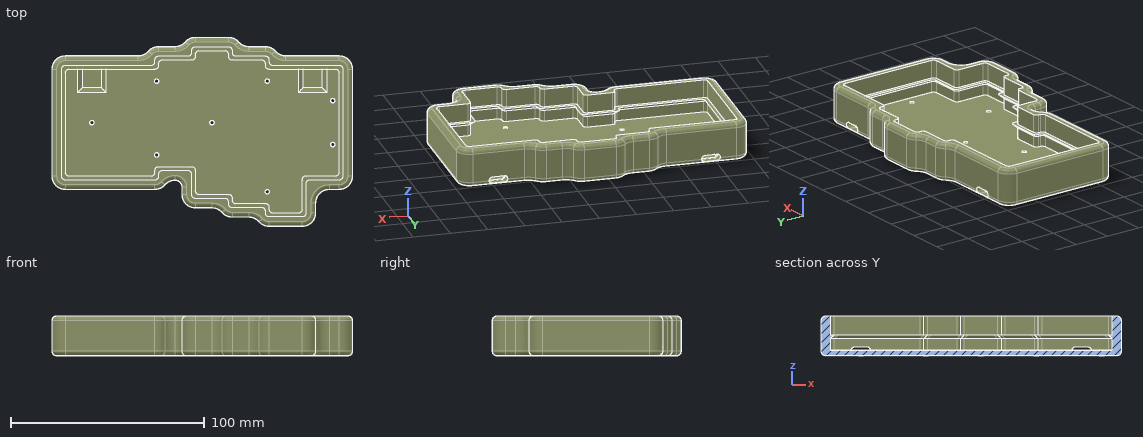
import cadquery as cq
import math

length = 155.5
height = 20.7
edge_round = 2.5

five_key_span = 95.3
pitch = five_key_span / 5
stagger = pitch / 4
plan_depth = 97.8

outer_radius = 7.0
ledge_half_width = 1.0
wall = outer_radius - ledge_half_width
key_corner_radius = 1.9

floor_z = 3.0
ledge_z = 10.9

field_right = length / 2 - wall
field_left = -field_right
column_x = [field_right - count * pitch for count in (5, 4, 3, 2, 1)]
x1, x2, x3, x4, x5 = column_x

top_high = plan_depth / 2 - wall
top_mid = top_high - stagger
top_low = top_mid - stagger
bottom_low = top_low - 3 * pitch
bottom_mid = top_mid - 3 * pitch
thumb_high = top_high - 4 * pitch
thumb_mid = top_mid - 4 * pitch
thumb_low = top_low - 4 * pitch

hole_diameter = 2.2
hole_inset = pitch * 5 / 8
center_y = (top_low + bottom_low) / 2
side_hole_x = 67.5
side_hole_offset = 11.3

pocket_x = 57.0
pocket_width = 14.8
pocket_back = top_low + ledge_half_width
pocket_length = 14.0
pocket_depth = 2.5
slot_width = 10.0
slot_height = 3.5
slot_rise = 0.5


def outer_outline():
    """Body outline of straight runs joined by tangent arcs, clockwise from the top left."""
    inset = ledge_half_width
    r = outer_radius
    half_run = math.sqrt(stagger * (4 * r - stagger)) / 2
    half_rise = stagger / 2
    run = 2 * half_run
    notch_radius = pitch - wall + inset - run

    def s_step(path, x_sign, y_sign):
        step = (x_sign * half_run, y_sign * half_rise)
        return path.tangentArcPoint(step).tangentArcPoint(step)

    left = -length / 2
    right = length / 2
    path = cq.Workplane("XY").moveTo(left + r, top_low + wall)
    path = path.lineTo(x1 + inset - run, top_low + wall)
    path = s_step(path, 1, 1)
    path = path.lineTo(x2 + inset - run, top_mid + wall)
    path = s_step(path, 1, 1)
    path = path.lineTo(x3 - inset, top_high + wall)
    path = s_step(path, 1, -1)
    path = path.lineTo(x4 - inset, top_mid + wall)
    path = s_step(path, 1, -1)
    path = path.lineTo(right - r, top_low + wall)
    path = path.tangentArcPoint((r, -r))
    path = path.lineTo(right, bottom_low - wall + r)
    path = path.tangentArcPoint((-r, -r))
    thumb_right = x5 + wall
    path = path.lineTo(thumb_right + r, bottom_low - wall)
    path = path.tangentArcPoint((-r, -r))
    path = path.lineTo(thumb_right, thumb_low - wall + r)
    path = path.tangentArcPoint((-r, -r))
    path = path.lineTo(x4 + inset, thumb_low - wall)
    path = s_step(path, -1, 1)
    path = path.lineTo(x3 + inset, thumb_mid - wall)
    path = s_step(path, -1, 1)
    thumb_left = x2 - wall
    path = path.lineTo(thumb_left + r, thumb_high - wall)
    path = path.tangentArcPoint((-r, r))
    path = path.lineTo(thumb_left, bottom_mid - wall - notch_radius)
    path = path.tangentArcPoint((-notch_radius, notch_radius))
    path = s_step(path, -1, -1)
    path = path.lineTo(left + r, bottom_low - wall)
    path = path.tangentArcPoint((-r, r))
    path = path.lineTo(left, top_low + wall - r)
    path = path.tangentArcPoint((r, r))
    return path.close()


def key_outline(offset, z):
    """Rounded wire of the stepped key field at height z, grown or shrunk by an offset."""
    corners = [
        (field_left, top_low), (x1, top_low), (x1, top_mid), (x2, top_mid), (x2, top_high),
        (x3, top_high), (x3, top_mid), (x4, top_mid), (x4, top_low), (field_right, top_low),
        (field_right, bottom_low), (x5, bottom_low), (x5, thumb_low), (x4, thumb_low),
        (x4, thumb_mid), (x3, thumb_mid), (x3, thumb_high), (x2, thumb_high),
        (x2, bottom_mid), (x1, bottom_mid), (x1, bottom_low), (field_left, bottom_low),
    ]
    sharp = cq.Workplane("XY").workplane(offset=z).polyline(corners).close()
    wire = sharp.offset2D(offset, "intersection").val()
    return wire.fillet2D(key_corner_radius, wire.Vertices())


def cavity():
    """Open cavity with a knife-edged lip: flat on top, sloping back to the wall underneath."""
    lip_width = 2 * ledge_half_width
    lip_root_z = ledge_z - lip_width
    up = cq.Vector(0, 0, 1)
    upper = cq.Solid.extrudeLinear(key_outline(ledge_half_width, ledge_z), [], up * (height - ledge_z))
    underside = cq.Solid.makeLoft(
        [key_outline(ledge_half_width, lip_root_z), key_outline(-ledge_half_width, ledge_z)], True
    )
    lower = cq.Solid.extrudeLinear(key_outline(ledge_half_width, floor_z), [], up * (lip_root_z - floor_z))
    return [upper, underside, lower]


def cable_pocket(x):
    """Recess in the floor with 45 degree sides at the left, right and front, square at the back wall."""
    shift = pocket_depth
    half = pocket_width / 2
    profile = [(x - half, floor_z), (x + half, floor_z),
               (x + half - shift, floor_z - shift), (x - half + shift, floor_z - shift)]
    trough = cq.Workplane("XZ", origin=(0, pocket_back, 0)).polyline(profile).close().extrude(pocket_length)
    front = pocket_back - pocket_length
    side = [(front, floor_z), (pocket_back, floor_z),
            (pocket_back, floor_z - shift), (front + shift, floor_z - shift)]
    ramp = cq.Workplane("YZ", origin=(x - half, 0, 0)).polyline(side).close().extrude(pocket_width)
    return trough.intersect(ramp)


def cable_slot(x):
    """Round-ended slot from the cavity through the back wall."""
    z = floor_z - pocket_depth + slot_rise + slot_height / 2
    slot = cq.Workplane("XZ", origin=(x, pocket_back, z)).slot2D(slot_width, slot_height)
    return slot.extrude(-outer_radius)


body = outer_outline().extrude(height).faces("<Z or >Z").edges().fillet(edge_round)
for section in cavity():
    body = body.cut(cq.Workplane(section))
for x in (-pocket_x, pocket_x):
    body = body.cut(cable_pocket(x)).cut(cable_slot(x))

hole_points = [
    (x1, top_mid - hole_inset), (x4, top_mid - hole_inset),
    (x1, bottom_low + hole_inset), (x4, thumb_low + hole_inset),
    (-pocket_x, center_y), ((x2 + x3) / 2, center_y),
    (side_hole_x, center_y + side_hole_offset), (side_hole_x, center_y - side_hole_offset),
]
holes = cq.Workplane("XY").pushPoints(hole_points).circle(hole_diameter / 2).extrude(height)
result = body.cut(holes)